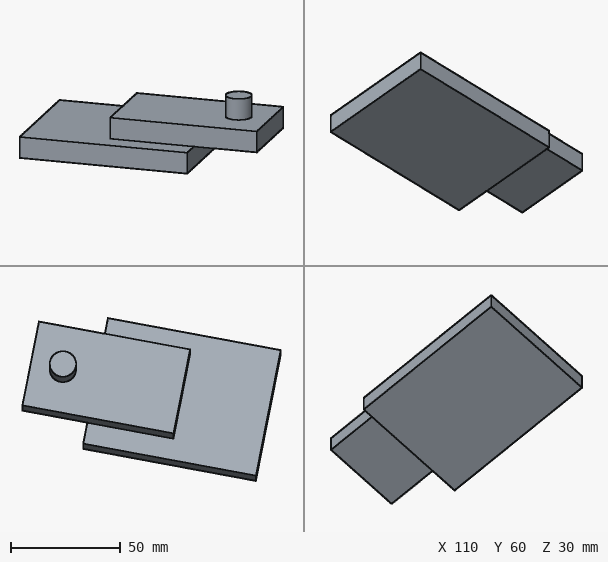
import cadquery as cq

overall_length = 110.0
layer_height = 10.0
base_length = 80.0
base_width = 60.0
arm_length = 70.0
arm_width = 40.0
pin_diameter = 12.0
pin_end_distance = 15.0

arm_start = overall_length - arm_length
pin_x = overall_length - pin_end_distance
arm_bottom = layer_height
pin_bottom = arm_bottom + layer_height


def plate(length, width, start_x, bottom_z):
    """Rectangular plate centred on Y, one layer thick."""
    return (
        cq.Workplane("XY")
        .box(length, width, layer_height, centered=(False, True, False))
        .translate((start_x, 0, bottom_z))
    )


base = plate(base_length, base_width, 0, 0)

arm = plate(arm_length, arm_width, arm_start, arm_bottom)

pin = (
    cq.Workplane("XY", origin=(pin_x, 0, pin_bottom))
    .circle(pin_diameter / 2)
    .extrude(layer_height)
)

result = base.union(arm).union(pin)